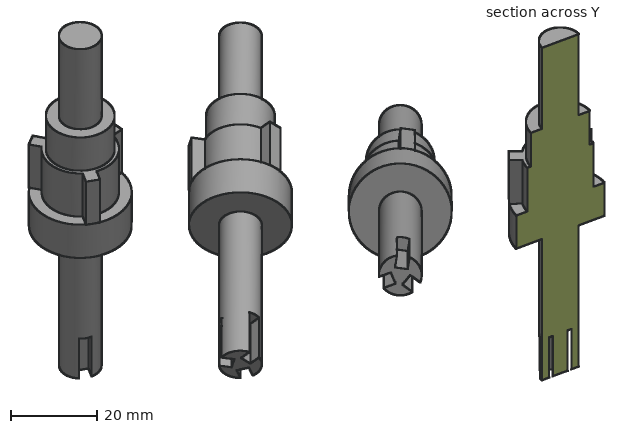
import cadquery as cq

total_length = 99
shaft_diameter = 10.0
flange_diameter = 24.0
hub_diameter = 18.0
neck_diameter = 16.0

top_shaft_length = 24.1
neck_length = 10.0
hub_length = 13.0
flange_length = 10.0

spoke_count = 3
first_spoke_angle = 90
key_width = 3.4
slot_width = 3.0
slot_length = 12.0
slot_floor_radius = 1.8

neck_top = total_length - top_shaft_length
hub_top = neck_top - neck_length
flange_top = hub_top - hub_length
flange_bottom = flange_top - flange_length


def disc(diameter, bottom, height):
    """Solid cylinder on the Z axis."""
    return cq.Workplane("XY").workplane(offset=bottom).circle(diameter / 2).extrude(height)


def radial_blocks(inner, outer, width, bottom, height):
    """Equally spaced blocks running outwards between two distances from the axis."""
    blocks = cq.Workplane("XY")
    for index in range(spoke_count):
        block = cq.Workplane("XY").box(outer - inner, width, height, centered=(False, True, False))
        block = block.translate((inner, 0, bottom))
        angle = first_spoke_angle + index * 360 / spoke_count
        blocks = blocks.add(block.rotate((0, 0, 0), (0, 0, 1), angle))
    return blocks.combine()


body = disc(shaft_diameter, 0, total_length)
body = body.union(disc(flange_diameter, flange_bottom, flange_length))
body = body.union(disc(hub_diameter, flange_top, hub_length))
body = body.union(disc(neck_diameter, hub_top, neck_length))

key_root = shaft_diameter / 2
keys = radial_blocks(key_root, flange_diameter / 2, key_width, flange_top, hub_length)

slots = radial_blocks(slot_floor_radius, shaft_diameter, slot_width, 0, slot_length)

result = body.union(keys).cut(slots)